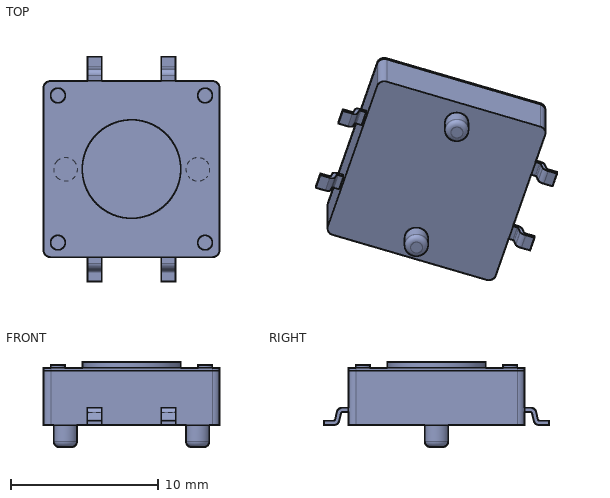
import cadquery as cq
import math

side = 12.0
overall_length = 15.3
corner_radius = 0.5
base_height = 3.7

cover_thickness = 0.2
stud_diameter = 1.0
stud_height = 0.2
stud_offset = 5.0
button_diameter = 6.7
button_height = 0.4

peg_diameter = 1.6
peg_length = 1.5
peg_offset = 4.5
peg_tip_radius = 0.4

lead_width = 1.0
lead_thickness = 0.3
lead_height = 1.2
lead_offset = 2.51
outer_bend_radius = 0.4
inner_bend_radius = outer_bend_radius - lead_thickness
shoulder_length = 0.4
bend_spacing = 0.6


def rounded_square(height, bottom):
    block = cq.Workplane("XY").workplane(offset=bottom).rect(side, side).extrude(height)
    return block.edges("|Z").fillet(corner_radius)


def make_base():
    body = rounded_square(base_height, 0)
    pegs = (
        cq.Workplane("XY")
        .pushPoints([(-peg_offset, 0), (peg_offset, 0)])
        .circle(peg_diameter / 2)
        .extrude(-peg_length)
        .faces("<Z")
        .edges()
        .fillet(peg_tip_radius)
    )
    return body.union(pegs)


def make_cover():
    plate = rounded_square(cover_thickness, base_height)
    top = cq.Workplane("XY").workplane(offset=base_height + cover_thickness)
    studs = (
        top.rect(2 * stud_offset, 2 * stud_offset, forConstruction=True)
        .vertices()
        .circle(stud_diameter / 2)
        .extrude(stud_height)
    )
    button = top.circle(button_diameter / 2).extrude(button_height)
    return plate.union(studs).union(button)


def make_lead():
    """One lead on the +Y wall, centred on X = 0."""
    wall = side / 2
    tip = overall_length / 2
    upper_y = wall + shoulder_length
    upper_z = lead_height - outer_bend_radius
    lower_y = upper_y + bend_spacing
    lower_z = outer_bend_radius

    centre_distance = math.hypot(lower_y - upper_y, lower_z - upper_z)
    fall_angle = math.atan2(upper_z - lower_z, lower_y - upper_y)
    radius_sum = outer_bend_radius + inner_bend_radius
    leg_angle = fall_angle + math.asin(radius_sum / centre_distance)
    leg_normal = math.pi / 2 - leg_angle
    mid_bend = (math.pi / 2 + leg_normal) / 2

    def on_upper(radius, angle):
        return (upper_y + radius * math.cos(angle), upper_z + radius * math.sin(angle))

    def on_lower(radius, angle):
        return (lower_y - radius * math.cos(angle), lower_z - radius * math.sin(angle))

    profile = (
        cq.Workplane("YZ")
        .workplane(offset=-lead_width / 2)
        .moveTo(wall, lead_height)
        .lineTo(upper_y, lead_height)
        .threePointArc(on_upper(outer_bend_radius, mid_bend), on_upper(outer_bend_radius, leg_normal))
        .lineTo(*on_lower(inner_bend_radius, leg_normal))
        .threePointArc(on_lower(inner_bend_radius, mid_bend), (lower_y, lead_thickness))
        .lineTo(tip, lead_thickness)
        .lineTo(tip, 0)
        .lineTo(lower_y, 0)
        .threePointArc(on_lower(outer_bend_radius, mid_bend), on_lower(outer_bend_radius, leg_normal))
        .lineTo(*on_upper(inner_bend_radius, leg_normal))
        .threePointArc(on_upper(inner_bend_radius, mid_bend), (upper_y, lead_height - lead_thickness))
        .lineTo(wall, lead_height - lead_thickness)
        .close()
    )
    return profile.extrude(lead_width)


base = make_base()
cover = make_cover()

leads = []
for turn in (0, 180):
    for x in (-lead_offset, lead_offset):
        lead = make_lead().translate((x, 0, 0)).rotate((0, 0, 0), (0, 0, 1), turn)
        leads.append(lead.val())

result = cq.Compound.makeCompound([base.val(), cover.val(), *leads])